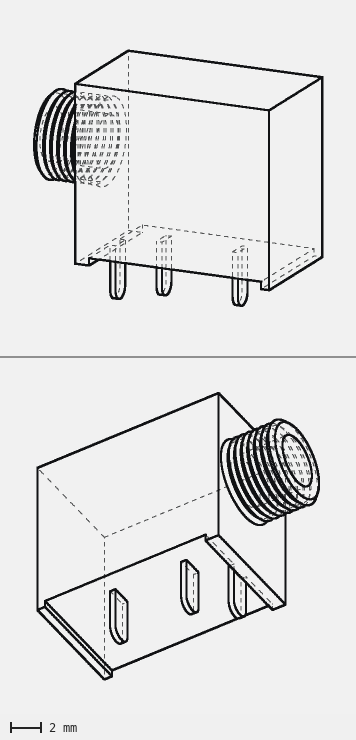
import cadquery as cq

overall_length = 18.0
overall_height = 15.6

bushing_length = 4.0
body_length = overall_length - bushing_length
body_width = 8.2
body_height = 12.3
axis_below_top = 5.3
axis_from_side = 3.3
body_top = axis_below_top
body_bottom = body_top - body_height
body_side = axis_from_side

relief_depth = 0.5
front_foot_length = 1.0
rear_foot_length = 0.6
relief_length = body_length - front_foot_length - rear_foot_length
relief_top = body_bottom + relief_depth

crest_radius = 3.0
root_radius = 2.7
bore_radius = 1.8
thread_pitch = 0.5
thread_count = 6
end_ridge_count = 1.5
end_ridge_width = (bushing_length - thread_count * thread_pitch) / end_ridge_count
thread_rise = thread_pitch / 2

pin_thickness = 0.4
pin_width = 1.5
pin_bottom = body_top - overall_height
inner_pin_from_side = 2.2
outer_pin_from_side = 4.21
inner_pin_y = body_side - inner_pin_from_side
outer_pin_y = body_side - outer_pin_from_side
middle_pin_x = 3.4
rear_pin_x = 8.9
pin_places = [
    (front_foot_length, outer_pin_y),
    (middle_pin_x, inner_pin_y),
    (rear_pin_x, inner_pin_y),
]


def make_body():
    block = cq.Workplane("XY").box(body_length, body_width, body_height, centered=False)
    block = block.translate((0, body_side - body_width, body_bottom))
    relief = cq.Workplane("XY").box(relief_length, body_width, relief_depth, centered=False)
    return block.cut(relief.translate((front_foot_length, body_side - body_width, body_bottom)))


def make_bushing():
    """Revolve the ridged profile around the X axis."""
    tip_x = -bushing_length
    first_root_x = tip_x + end_ridge_width
    points = [
        (tip_x, bore_radius),
        (tip_x, root_radius),
        (tip_x + end_ridge_width / 2, crest_radius),
        (first_root_x, root_radius),
    ]
    for ridge in range(thread_count):
        ridge_start = first_root_x + ridge * thread_pitch
        points.append((ridge_start + thread_pitch / 2, root_radius + thread_rise))
        points.append((ridge_start + thread_pitch, root_radius))
    points.append((0, crest_radius))
    points.append((0, bore_radius))
    return cq.Workplane("XY").polyline(points).close().revolve(360, (0, 0), (1, 0))


def make_pin(front_x, centre_y):
    """Flat pin across Y with a fully rounded lower end."""
    tip_radius = pin_width / 2
    return (
        cq.Workplane("YZ", origin=(front_x, centre_y, 0))
        .moveTo(-tip_radius, relief_top)
        .lineTo(-tip_radius, pin_bottom + tip_radius)
        .threePointArc((0, pin_bottom), (tip_radius, pin_bottom + tip_radius))
        .lineTo(tip_radius, relief_top)
        .close()
        .extrude(pin_thickness)
    )


result = make_body().union(make_bushing())
for front_x, centre_y in pin_places:
    result = result.union(make_pin(front_x, centre_y))